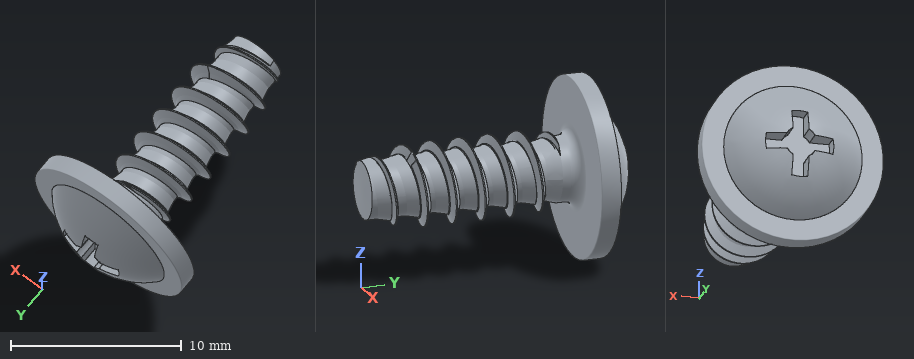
import math

import cadquery as cq


total_length = 16.12
shank_length = 13.0
head_height = total_length - shank_length

flange_radius = 5.5
flange_thickness = 1.21
flange_edge_radius = 0.06
dome_radius = 5.37

recess_well_radius = 0.97
recess_arm_reach = 2.06
recess_arm_width = 0.97
recess_depth = 1.29

neck_radius = 1.97
neck_length = 1.2
neck_taper_length = 0.9
neck_fillet = 0.68
core_radius = 1.74
tip_cone_height = 0.05
tip_cone_radius = 1.66
tip_face_z = tip_cone_height - shank_length

pitch = 1.79
crest_radius = 2.5
crest_width = 0.08
flank_knee_radius = 1.97
flank_knee_half_width = 0.24
foot_half_width = 0.42
root_radius = 1.92
root_taper_length = 0.8
crest_phase_z = -6.22
buried_radius = 1.21
bury_depth = 0.16
lead_in_end_z = -3.11
lead_in_crest_radius = 2.21
run_out_start_z = -10.15
root_start_z = -12.25
sweep_overlap = 0.08


def make_head():
    """Washer flange and domed cap with the cross recess cut into it."""
    dome_centre_z = head_height - math.sqrt(dome_radius**2 - recess_well_radius**2)
    dome_base_radius = math.sqrt(dome_radius**2 - (flange_thickness - dome_centre_z) ** 2)
    dome_top_z = dome_centre_z + dome_radius
    mid_angle = (math.pi / 2 + math.acos(dome_base_radius / dome_radius)) / 2
    dome_mid = (dome_radius * math.cos(mid_angle), dome_centre_z + dome_radius * math.sin(mid_angle))

    flange = cq.Workplane("XY").circle(flange_radius).extrude(flange_thickness)
    flange = flange.edges().fillet(flange_edge_radius)
    dome = (
        cq.Workplane("XZ")
        .moveTo(0, flange_thickness / 2)
        .lineTo(dome_base_radius, flange_thickness / 2)
        .lineTo(dome_base_radius, flange_thickness)
        .threePointArc(dome_mid, (0, dome_top_z))
        .close()
        .revolve(360, (0, 0, 0), (0, 1, 0))
    )
    return flange.union(dome).cut(make_recess(dome_top_z))


def make_recess(dome_top_z):
    """Cross recess with a level floor and arm ends rounded about the screw axis."""
    floor_z = head_height - recess_depth
    height = dome_top_z - floor_z
    base = cq.Workplane("XY").workplane(offset=floor_z)
    arms = base.rect(2 * recess_arm_reach, recess_arm_width).extrude(height)
    arms = arms.union(base.rect(recess_arm_width, 2 * recess_arm_reach).extrude(height))
    arms = arms.intersect(base.circle(recess_arm_reach).extrude(height))
    return arms.union(base.circle(recess_well_radius).extrude(height))


def make_core():
    """Filleted neck tapering to a plain core, with a very flat cone on the tip face."""
    fillet_mid = neck_fillet * (1 - math.sqrt(0.5))
    overlap = flange_thickness / 4
    return (
        cq.Workplane("XZ")
        .moveTo(0, overlap)
        .lineTo(neck_radius + neck_fillet, overlap)
        .lineTo(neck_radius + neck_fillet, 0)
        .threePointArc((neck_radius + fillet_mid, -fillet_mid), (neck_radius, -neck_fillet))
        .lineTo(neck_radius, -neck_length)
        .lineTo(core_radius, -neck_length - neck_taper_length)
        .lineTo(core_radius, tip_face_z)
        .lineTo(tip_cone_radius, tip_face_z)
        .lineTo(0, -shank_length)
        .close()
        .revolve(360, (0, 0, 0), (0, 1, 0))
    )


def helical_sweep(section, start_z, end_z, taper=0.0):
    """Sweep (radius, height) points up the thread helix; taper is the radius gained per unit of height."""
    slope = math.atan(taper)
    slant = math.cos(slope)
    cone_angle = math.degrees(slope) if taper else 360
    helix = cq.Wire.makeHelix(pitch / slant, (end_z - start_z) / slant, core_radius, angle=cone_angle)
    ridge = cq.Workplane("XZ").polyline(section).close().sweep(cq.Workplane(helix), isFrenet=True)
    start_angle = 360 * (start_z - crest_phase_z) / pitch
    return ridge.rotate((0, 0, 0), (0, 0, 1), start_angle).translate((0, 0, start_z))


def ridge_section(section_crest_radius):
    """Thread ridge, symmetric about its crest, sunk into the core when its crest is low."""
    sink = crest_radius - section_crest_radius
    foot_slope = (foot_half_width - flank_knee_half_width) / (flank_knee_radius - core_radius)
    buried_half_width = foot_half_width + bury_depth * foot_slope
    upper_half = [
        (crest_radius - sink, crest_width / 2),
        (flank_knee_radius - sink, flank_knee_half_width),
        (core_radius - bury_depth - sink, buried_half_width),
        (buried_radius - sink, buried_half_width),
    ]
    return upper_half + [(r, -z) for r, z in reversed(upper_half)]


def make_thread():
    """Tapered thread root plus a ridge that rises from the neck and fades out at the tip."""
    taper_slope = (root_radius - core_radius) / root_taper_length
    root_low_z = -flank_knee_half_width - root_taper_length - bury_depth
    root_section = [
        (buried_radius, -flank_knee_half_width),
        (root_radius, -flank_knee_half_width),
        (core_radius - bury_depth * taper_slope, root_low_z),
        (buried_radius, root_low_z),
    ]
    run_out_taper = (crest_radius - core_radius) / (run_out_start_z - tip_face_z)
    lead_in_taper = (crest_radius - lead_in_crest_radius) / (lead_in_end_z + neck_length)
    full_section = ridge_section(crest_radius)
    faded_section = ridge_section(core_radius)

    full_ridge = helical_sweep(full_section, run_out_start_z, lead_in_end_z)
    lead_in = helical_sweep(full_section, lead_in_end_z, -neck_length + pitch / 2, lead_in_taper)
    run_out = helical_sweep(faded_section, tip_face_z, run_out_start_z + sweep_overlap, run_out_taper)
    root = helical_sweep(root_section, root_start_z, -neck_length + pitch)
    return full_ridge, lead_in, run_out, root


threaded_length = -neck_length - tip_face_z
threaded_zone = cq.Workplane("XY").workplane(offset=tip_face_z).circle(flange_radius).extrude(threaded_length)

screw = make_head().union(make_core())
for thread_part in make_thread():
    screw = screw.union(thread_part.intersect(threaded_zone))

result = screw.solids().rotate((0, 0, 0), (1, 0, 0), -90)